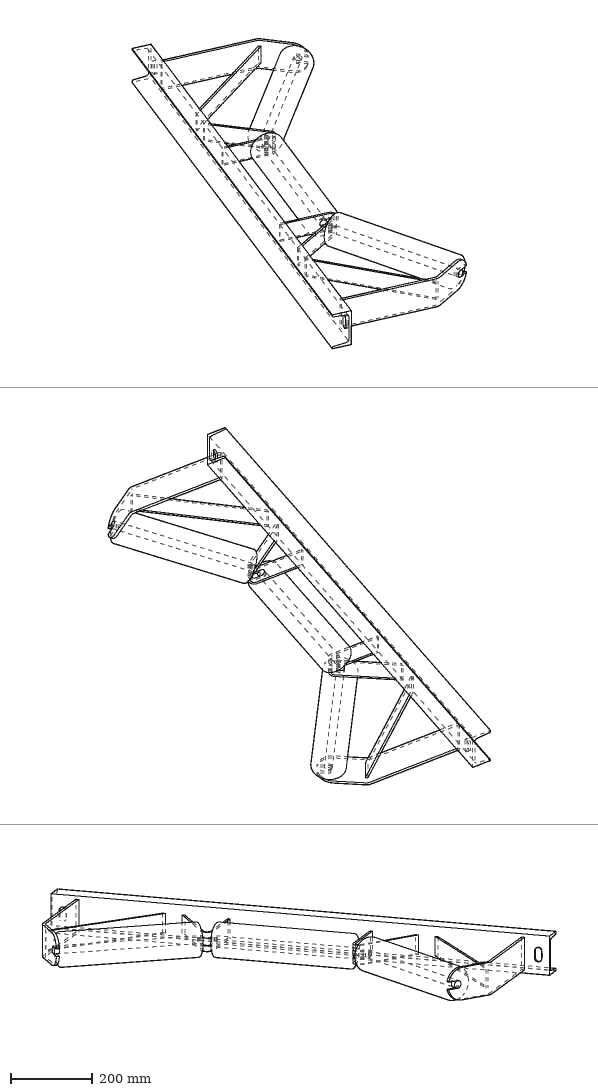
import cadquery as cq
import math


BEAM_LENGTH = 1300.0
BEAM_HEIGHT = 100.0
FLANGE_WIDTH = 51.0
WEB_THICKNESS = 6.0
FLANGE_THICKNESS = 8.5
FLANGE_TAPER = 0.08
ROOT_RADIUS = 9.0
TOE_RADIUS = 4.5
SLOT_INSET = 30.0
SLOT_LENGTH = 36.0
SLOT_WIDTH = 18.0

ROLLER_LENGTH = 360.0
ROLLER_DIAMETER = 88.0
ROLLER_EDGE_RADIUS = 4.0
SHAFT_DIAMETER = 20.0
TROUGH_ANGLE = 35.0
CENTER_ROLLER_HEIGHT = 116.0
SIDE_ROLLER_X = 369.0
SIDE_ROLLER_HEIGHT = 231.0

OUTER_POST_X = 585.0
OUTER_WIDTH = 83.0
OUTER_THICKNESS = 8.0
OUTER_BEND_RADIUS = 21.0
OUTER_GAP = 5.0
TIP_RISE = 29.0

STRIP_WIDTH = 50.0
STRIP_THICKNESS = 6.0
INNER_BEND_RADIUS = 15.0
INNER_GAP = 3.0

BRACE_FOOT_X = 351.0
BRACE_TOP_HEIGHT = 266.0

COS = math.cos(math.radians(TROUGH_ANGLE))
SIN = math.sin(math.radians(TROUGH_ANGLE))
HALF_ROLLER = ROLLER_LENGTH / 2

ARM_NEAR = HALF_ROLLER + OUTER_GAP
ARM_FAR = ARM_NEAR + OUTER_THICKNESS
STRIP_NEAR = HALF_ROLLER + INNER_GAP
STRIP_FAR = STRIP_NEAR + STRIP_THICKNESS


def side_point(along, up):
    """Point placed from the right roller's middle: outwards along its axis, and square to it."""
    x = SIDE_ROLLER_X + along * COS - up * SIN
    y = SIDE_ROLLER_HEIGHT + along * SIN + up * COS
    return x, y


def face_at_x(along, x):
    """Point at a given X on a face square to the right roller's axis."""
    return side_point(along, (SIDE_ROLLER_X + along * COS - x) / SIN)


def face_at_height(along, height):
    """Point at a given height on a face square to the right roller's axis."""
    return side_point(along, (height - SIDE_ROLLER_HEIGHT - along * SIN) / COS)


def center_plane(x):
    """Plane square to the center roller's axis, its local X pointing up."""
    return cq.Workplane(cq.Plane((x, CENTER_ROLLER_HEIGHT, 0), (0, 1, 0), (1, 0, 0)))


def side_plane(along):
    """Plane square to the right roller's axis, its local X pointing up."""
    return cq.Workplane(cq.Plane((*side_point(along, 0), 0), (-SIN, COS, 0), (COS, SIN, 0)))


def plate(outline, width):
    """Closed outline in X and Y, given a width centered on the mid plane."""
    return cq.Workplane("XY").polyline(outline).close().extrude(width / 2, both=True)


def round_edge(body, middle, radius):
    """Fillet the edge whose middle is at the given point."""
    return body.edges(cq.NearestToPointSelector(middle)).fillet(radius)


def bent_bar(outside, inside, width, thickness, bend_radius):
    """Flat bar bent once: each face is listed as foot, bend corner, end."""
    bar = plate([*outside, *reversed(inside)], width)
    bar = round_edge(bar, (*outside[1], 0), bend_radius)
    return round_edge(bar, (*inside[1], 0), bend_radius - thickness)


def shaft_seat(plane, depth):
    """Cutter for a round-bottomed slot that is open upwards."""
    opening = BEAM_HEIGHT / 2
    bottom = plane.circle(SHAFT_DIAMETER / 2).extrude(depth)
    return bottom.union(plane.center(opening / 2, 0).rect(opening, SHAFT_DIAMETER).extrude(depth))


def make_beam():
    half = BEAM_HEIGHT / 2
    taper_rise = FLANGE_TAPER * FLANGE_WIDTH / 2
    toe = half - FLANGE_THICKNESS + taper_rise
    root = half - FLANGE_THICKNESS - taper_rise + FLANGE_TAPER * WEB_THICKNESS
    section = [
        (0, -half),
        (0, half),
        (-FLANGE_WIDTH, half),
        (-FLANGE_WIDTH, toe),
        (-WEB_THICKNESS, root),
        (-WEB_THICKNESS, -root),
        (-FLANGE_WIDTH, -toe),
        (-FLANGE_WIDTH, -half),
    ]
    beam = cq.Workplane("YZ").polyline(section).close().extrude(BEAM_LENGTH / 2, both=True)
    for side in (-1, 1):
        beam = round_edge(beam, (0, -WEB_THICKNESS, side * root), ROOT_RADIUS)
        beam = round_edge(beam, (0, -FLANGE_WIDTH, side * toe), TOE_RADIUS)

    slot_x = BEAM_LENGTH / 2 - SLOT_INSET
    slots = cq.Workplane("XZ").pushPoints([(-slot_x, 0), (slot_x, 0)])
    return beam.cut(slots.slot2D(SLOT_LENGTH, SLOT_WIDTH, 90).extrude(WEB_THICKNESS))


def make_outer_bracket():
    post_inside = OUTER_POST_X - OUTER_THICKNESS
    outside = [(OUTER_POST_X, 0), face_at_x(ARM_FAR, OUTER_POST_X), side_point(ARM_FAR, TIP_RISE)]
    inside = [(post_inside, 0), face_at_x(ARM_NEAR, post_inside), side_point(ARM_NEAR, TIP_RISE)]
    bar = bent_bar(outside, inside, OUTER_WIDTH, OUTER_THICKNESS, OUTER_BEND_RADIUS)

    tip_radius = OUTER_WIDTH / 2
    tip_plane = side_plane(ARM_NEAR).center(TIP_RISE - tip_radius, 0)
    tip_disc = tip_plane.circle(tip_radius).extrude(OUTER_THICKNESS)
    tip_block = tip_plane.center(tip_radius / 2, 0).rect(tip_radius, OUTER_WIDTH).extrude(OUTER_THICKNESS)
    bar = bar.cut(tip_block.cut(tip_disc))
    return bar.cut(shaft_seat(side_plane(ARM_NEAR), OUTER_THICKNESS))


def make_inner_bracket():
    outside = [(STRIP_NEAR, 0), face_at_x(-STRIP_NEAR, STRIP_NEAR), face_at_height(-STRIP_NEAR, 0)]
    inside = [(STRIP_FAR, 0), face_at_x(-STRIP_FAR, STRIP_FAR), face_at_height(-STRIP_FAR, 0)]
    strip = bent_bar(outside, inside, STRIP_WIDTH, STRIP_THICKNESS, INNER_BEND_RADIUS)

    strip = strip.cut(shaft_seat(center_plane(STRIP_NEAR), INNER_BEND_RADIUS))
    return strip.cut(shaft_seat(side_plane(-STRIP_NEAR - INNER_BEND_RADIUS), INNER_BEND_RADIUS))


def make_brace():
    top_x = OUTER_POST_X - OUTER_THICKNESS
    run = top_x - BRACE_FOOT_X
    slant = math.hypot(run, BRACE_TOP_HEIGHT)
    foot_length = STRIP_THICKNESS * slant / BRACE_TOP_HEIGHT
    top_length = STRIP_THICKNESS * slant / run
    outline = [
        (BRACE_FOOT_X, 0),
        (top_x, BRACE_TOP_HEIGHT),
        (top_x, BRACE_TOP_HEIGHT - top_length),
        (BRACE_FOOT_X + foot_length, 0),
    ]
    return plate(outline, STRIP_WIDTH)


def make_frame():
    frame = make_beam()
    for member in (make_outer_bracket(), make_inner_bracket(), make_brace()):
        frame = frame.union(member).union(member.mirror("YZ"))
    return frame


def make_roller(start_plane):
    """Roller that starts on the given plane and is bored for its shaft."""
    roller = start_plane.circle(ROLLER_DIAMETER / 2).extrude(ROLLER_LENGTH)
    roller = roller.edges().fillet(ROLLER_EDGE_RADIUS)
    return roller.cut(start_plane.circle(SHAFT_DIAMETER / 2).extrude(ROLLER_LENGTH))


def make_shaft(start_plane, length):
    """Round shaft that ends flush with the far faces of its brackets."""
    return start_plane.circle(SHAFT_DIAMETER / 2).extrude(length)


frame = make_frame()

center_roller = make_roller(center_plane(-HALF_ROLLER))
center_shaft = make_shaft(center_plane(-STRIP_FAR), 2 * STRIP_FAR)
right_roller = make_roller(side_plane(-HALF_ROLLER))
right_shaft = make_shaft(side_plane(-STRIP_FAR), STRIP_FAR + ARM_FAR)

rollers = [center_roller, right_roller, right_roller.mirror("YZ")]
shafts = [center_shaft, right_shaft, right_shaft.mirror("YZ")]

result = cq.Compound.makeCompound([body.val() for body in (frame, *rollers, *shafts)])